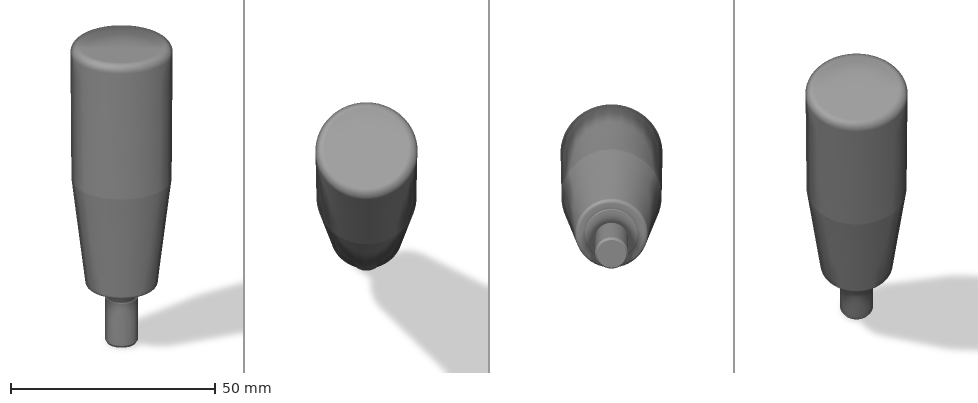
import cadquery as cq
import math

total_height = 80.4
grip_diameter = 25.0

stud_diameter = 8.0
stud_length = 12.1
stud_tip_diameter = 7.15
stud_tip_length = 0.7
neck_diameter = 6.5

collar_diameter = 13.0
collar_face_diameter = 12.8
collar_bottom = 14.95

grip_bottom = 15.4
taper_top = 44.2
taper_top_diameter = 24.5
grip_bottom_diameter = 17.5
grip_top_round = 2.0
grip_bottom_round = 1.0


def cylinder(diameter, bottom, top):
    """Upright round bar on the Z axis between two heights."""
    return cq.Workplane("XY").workplane(offset=bottom).circle(diameter / 2).extrude(top - bottom)


def make_grip():
    """Handle body, revolved from its half profile, with both rims rounded."""
    grip_radius = grip_diameter / 2
    round_center_x = grip_radius - grip_top_round
    round_center_z = total_height - grip_top_round
    round_reach = grip_top_round * math.sqrt(0.5)

    body = (
        cq.Workplane("XZ")
        .moveTo(0, grip_bottom)
        .lineTo(grip_bottom_diameter / 2, grip_bottom)
        .lineTo(taper_top_diameter / 2, taper_top)
        .lineTo(grip_radius, round_center_z)
        .threePointArc(
            (round_center_x + round_reach, round_center_z + round_reach),
            (round_center_x, total_height),
        )
        .lineTo(0, total_height)
        .close()
        .revolve(360, (0, 0, 0), (0, 1, 0))
    )
    return body.faces("<Z").edges().fillet(grip_bottom_round)


def make_stud():
    """Threaded end as a plain cylinder with a chamfered tip."""
    tip_inset = (stud_diameter - stud_tip_diameter) / 2
    stud = cylinder(stud_diameter, 0, stud_length)
    return stud.faces("<Z").chamfer(stud_tip_length, tip_inset)


def make_collar():
    """Thin disc under the grip with its lower edge broken."""
    edge_break = (collar_diameter - collar_face_diameter) / 2
    collar = cylinder(collar_diameter, collar_bottom, grip_bottom)
    return collar.faces("<Z").chamfer(edge_break)


neck = cylinder(neck_diameter, stud_length, collar_bottom)

result = make_grip().union(make_collar()).union(neck).union(make_stud())